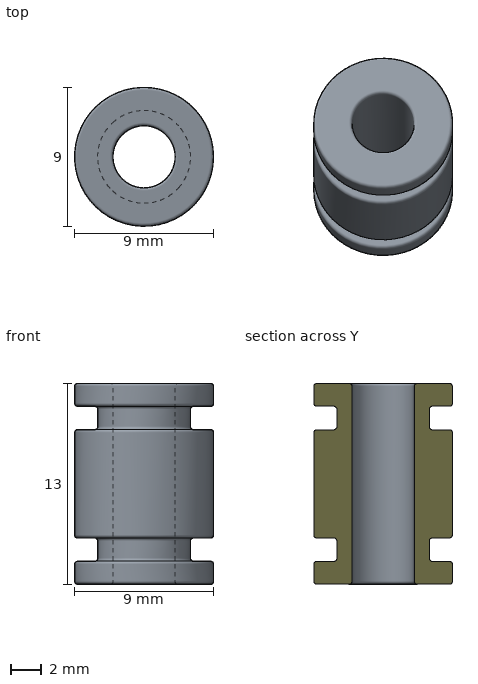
import cadquery as cq

length = 13.0
outer_diameter = 9.0
groove_diameter = 6.0
bore_diameter = 4.0
flange_width = 1.5
groove_width = 1.5
edge_radius = 0.2


def make_groove(bottom):
    """Ring to cut from the outside, with its inner corners rounded for root fillets."""
    ring = (
        cq.Workplane("XY")
        .workplane(offset=bottom)
        .circle(outer_diameter)
        .circle(groove_diameter / 2)
        .extrude(groove_width)
    )
    inner_edges = ring.edges(cq.selectors.RadiusNthSelector(0))
    return inner_edges.fillet(edge_radius)


body = (
    cq.Workplane("XY")
    .workplane(offset=-length / 2)
    .circle(outer_diameter / 2)
    .circle(bore_diameter / 2)
    .extrude(length)
)

body = body.faces("<Z or >Z").edges(cq.selectors.RadiusNthSelector(0)).fillet(edge_radius)

lower_groove_bottom = -length / 2 + flange_width
upper_groove_bottom = length / 2 - flange_width - groove_width
for groove_bottom in (lower_groove_bottom, upper_groove_bottom):
    body = body.cut(make_groove(groove_bottom))

result = body.edges(cq.selectors.RadiusNthSelector(-1)).edges("%CIRCLE").fillet(edge_radius)